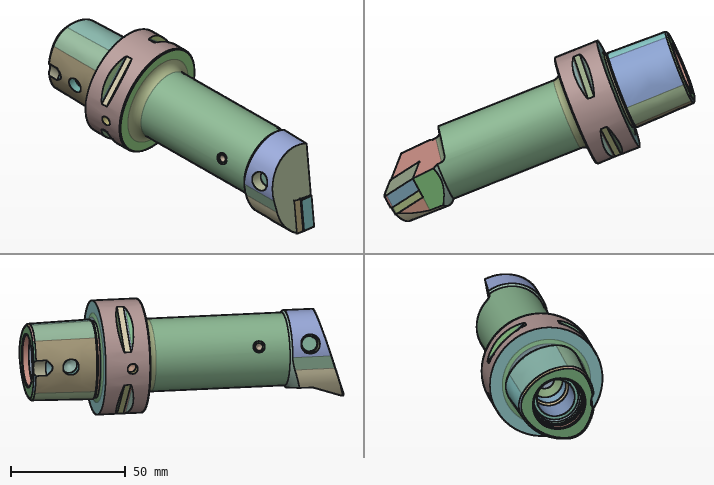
import cadquery as cq
import math

overall_length = 140.0
flange_diameter = 50.0
flange_radius = flange_diameter / 2
flange_width = 20.0
taper_length = 30.0
flange_back_x = taper_length + flange_width
flange_chamfer = 0.4

taper_per_side = 1 / 40
neck_start_x = 27.7
neck_inset = 0.7
taper_mean_radius = 17.5
lobe_rise = 1.0
lobe_radius = 11.0
mouth_chamfer = 0.8
collar_x = 29.4
collar_radius = 17.8
collar_rise = 1.8

bar_radius = 16.0
bar_fillet = 4.0

bore_steps = [
    (11.8, 0.0), (11.2, 0.3),
    (11.2, 3.1), (11.8, 3.1), (11.8, 4.5), (11.2, 4.5),
    (11.2, 5.9), (10.5, 6.5), (10.0, 7.8), (8.4, 7.8),
]
main_bore_depth = 22.4
inner_bore_radius = 7.4
inner_bore_depth = 30.8
coolant_radius = 4.0
coolant_depth = 56.0

notch_radius = 4.5
notch_axis_offset = 18.5
notch_length = 5.5
notch_tip_length = 6.0
cross_hole_radius = 3.5
cross_hole_x = 16.2
cross_hole_floor = 12.0
flange_hole_radius = 2.2
flange_hole_x = 41.9
flange_hole_floor = 21.0
drill_half_angle = 59.0

slot_x = taper_length + 10.0
slot_floor_width = 2.8
slot_corner = 0.5
slot_mouth_width = 7.0
slot_depth = 3.0

head_radius = 17.0
head_lobe_drop = 5.6
head_start_x = 113.7
head_blank_length = 42.0
blend_length = 8.4

tip_drop = 22.0
nose_radius = 0.8
seat_tilt_x = 0.08
seat_tilt_z = 0.2
insert_angle = 55.0
insert_edge = 15.5
insert_thickness = 6.3
shim_thickness = 3.6
end_lean = (90 - insert_angle) / 2
end_setback = 0.4
end_relief = 2.5
runout_x = 109.5
runout_lean = 16.0
runout_fillet = 2.7
far = 112.0
overrun = 1.4

clamp_x = 122.6
clamp_z = 5.6
clamp_hole_radius = 4.2
clamp_hole_floor = 9.8
clamp_screw_radius = 3.4
clamp_screw_height = 4.8
plug_x = 100.1
plug_z = 5.0
plug_radius = 2.5
plug_length = 4.2
plug_recess = 0.5
plug_socket_radius = 1.7
plug_socket_depth = 1.7


def polar(length, angle):
    return length * math.cos(math.radians(angle)), length * math.sin(math.radians(angle))


def x_cylinder(x, length, radius):
    return cq.Workplane("YZ", origin=(x, 0, 0)).circle(radius).extrude(length)


def revolve_x(profile):
    """Turns a closed profile drawn in (x, radius) about the X axis."""
    return profile.close().revolve(360, (0, 0, 0), (1, 0, 0))


bisector_length = nose_radius / math.sin(math.radians(insert_angle / 2))
corner_inset = bisector_length * math.cos(math.radians(45)) - nose_radius
corner_x = overall_length + corner_inset
corner_z = -tip_drop - corner_inset

seat = cq.Plane(
    origin=(corner_x, 0, corner_z),
    xDir=(1, -seat_tilt_x, 0),
    normal=(-seat_tilt_x, -1, seat_tilt_z),
)
end_angle = 90 + end_lean
lower_angle = 180 - end_lean
insert_top = polar(insert_edge, end_angle)
insert_back = polar(insert_edge, lower_angle)
insert_inner = (insert_top[0] + insert_back[0], insert_top[1] + insert_back[1])


lobe_center = taper_mean_radius + lobe_rise - lobe_radius
valley = taper_mean_radius - lobe_rise
gap = valley - lobe_radius
flat_center = (lobe_center**2 - gap**2) / (2 * gap - lobe_center)
join_tilt = math.degrees(math.atan2(
    lobe_center * math.sin(math.radians(60)),
    lobe_center * math.cos(math.radians(60)) + flat_center,
))


def polygon_wire(x, shrink):
    """Three lobes, one toward +Y, joined by flatter arcs; the outline is offset inward by `shrink`."""
    join_x, join_y = polar(valley + flat_center - shrink, join_tilt)
    join_radius = math.hypot(join_x - flat_center, join_y)
    join_angle = math.degrees(math.atan2(join_y, join_x - flat_center))
    work = cq.Workplane("YZ", origin=(x, 0, 0)).moveTo(*polar(join_radius, join_angle - 60))
    for lobe in (0, 120, 240):
        flat = lobe + 60
        work = work.threePointArc(
            polar(taper_mean_radius + lobe_rise - shrink, lobe), polar(join_radius, flat - join_angle))
        work = work.threePointArc(
            polar(valley - shrink, flat), polar(join_radius, flat + join_angle))
    return work.close().val()


def taper_section(start_x, end_x, start_shrink, end_shrink):
    wires = [polygon_wire(start_x, start_shrink), polygon_wire(end_x, end_shrink)]
    return cq.Workplane(cq.Solid.makeLoft(wires, True))


def taper():
    def shrink(x):
        return (taper_length - x) * taper_per_side

    mouth = taper_section(0, mouth_chamfer, mouth_chamfer + shrink(0), shrink(mouth_chamfer))
    neck_shrink = shrink(neck_start_x) + neck_inset
    shoulder_x = neck_start_x + neck_inset
    cone = taper_section(mouth_chamfer, neck_start_x, shrink(mouth_chamfer), shrink(neck_start_x))
    shoulder = taper_section(neck_start_x, shoulder_x, shrink(neck_start_x), neck_shrink)
    neck = taper_section(shoulder_x, taper_length, neck_shrink, neck_shrink)
    return mouth.union(cone).union(shoulder).union(neck)


def turned_shank():
    bar_mid = polar(bar_fillet, 225)
    bar_start = flange_back_x + bar_fillet
    profile = (
        cq.Workplane("XY").moveTo(collar_x, 0).lineTo(collar_x, collar_radius)
        .lineTo(taper_length, collar_radius + collar_rise)
        .lineTo(taper_length, flange_radius)
        .lineTo(flange_back_x - flange_chamfer, flange_radius)
        .lineTo(flange_back_x, flange_radius - flange_chamfer)
        .lineTo(flange_back_x, bar_radius + bar_fillet)
        .threePointArc(
            (bar_start + bar_mid[0], bar_radius + bar_fillet + bar_mid[1]), (bar_start, bar_radius))
        .lineTo(head_start_x, bar_radius).lineTo(head_start_x, 0)
    )
    return revolve_x(profile)


def above_lower_faces():
    """Space above the two lower relief faces, which stand square to the rake plane."""
    return (
        cq.Workplane(seat).moveTo(*polar(far, lower_angle + 180)).lineTo(*insert_back)
        .lineTo(-far, insert_back[1]).lineTo(-far, far).lineTo(far, far).close()
        .extrude(far, both=True)
    )


def behind_end_face():
    """Space behind the end face, which is set back from the insert and relieved away from it."""
    outward = seat.toWorldCoords(polar(1.4, end_lean)) - seat.origin
    along_edge = seat.toWorldCoords(polar(1.4, end_angle)) - seat.origin
    relief = far * math.tan(math.radians(end_relief))
    return (
        cq.Workplane(cq.Plane(origin=seat.origin, xDir=outward, normal=along_edge))
        .polyline([(relief - end_setback, far), (-relief - end_setback, -far), (-far, -far), (-far, far)])
        .close().extrude(far, both=True)
    )


def head():
    lower_lobe = x_cylinder(head_start_x, head_blank_length, head_radius).translate((0, 0, -head_lobe_drop))
    web = cq.Workplane("XY").box(
        head_blank_length, 2 * head_radius, head_lobe_drop, centered=(False, True, False)
    ).translate((head_start_x, 0, -head_lobe_drop))
    blank = x_cylinder(head_start_x, head_blank_length, head_radius).union(web).union(lower_lobe)
    blend = revolve_x(
        cq.Workplane("XY").moveTo(head_start_x, 0).lineTo(head_start_x, bar_radius)
        .lineTo(head_start_x + blend_length, bar_radius + blend_length)
        .lineTo(head_start_x + head_blank_length, bar_radius + blend_length)
        .lineTo(head_start_x + head_blank_length, 0)
    )
    return blank.intersect(blend).intersect(above_lower_faces()).intersect(behind_end_face())


def rake_cut():
    """Everything on the +Y side of the rake plane, back to a leaning runout wall with a fillet."""
    profile_plane = cq.Plane(origin=seat.origin, xDir=seat.xDir, normal=seat.yDir)
    wall_foot = runout_x - corner_x
    lean = math.tan(math.radians(runout_lean))
    return (
        cq.Workplane(profile_plane)
        .moveTo(wall_foot, 0).lineTo(far, 0).lineTo(far, far)
        .lineTo(wall_foot - far * lean, far).close().extrude(far, both=True)
        .edges(cq.selectors.NearestToPointSelector(seat.toWorldCoords((wall_foot, 0, 0)).toTuple()))
        .fillet(runout_fillet)
    )


def central_bore():
    drill_slope = 1 / math.tan(math.radians(drill_half_angle))
    profile = cq.Workplane("XY").moveTo(0, 0)
    for radius, depth in bore_steps:
        profile = profile.lineTo(depth, radius)
    bore_radius = bore_steps[-1][0]
    step = bore_radius - inner_bore_radius
    cone_length = (inner_bore_radius - coolant_radius) * drill_slope
    profile = (
        profile.lineTo(main_bore_depth, bore_radius)
        .lineTo(main_bore_depth + step, inner_bore_radius)
        .lineTo(inner_bore_depth, inner_bore_radius)
        .lineTo(inner_bore_depth + cone_length, coolant_radius)
        .lineTo(coolant_depth, coolant_radius)
        .lineTo(coolant_depth + coolant_radius * drill_slope, 0)
    )
    return revolve_x(profile)


def drilled_hole(x, radius, floor):
    """Blind hole drilled from the -Y side, its straight wall ending `floor` short of the axis."""
    tip = floor - radius / math.tan(math.radians(drill_half_angle))
    return (
        cq.Workplane("XY").moveTo(x, -flange_radius - overrun).lineTo(x + radius, -flange_radius - overrun)
        .lineTo(x + radius, -floor).lineTo(x, -tip).close()
        .revolve(360, (x, 0, 0), (x, 1, 0))
    )


def taper_notch():
    return revolve_x(
        cq.Workplane("XY").moveTo(-overrun, 0).lineTo(-overrun, notch_radius)
        .lineTo(notch_length, notch_radius)
        .lineTo(notch_length + notch_tip_length, 0)
    ).translate((0, -notch_axis_offset, 0))


def gripper_slots():
    floor_z = flange_radius - slot_depth
    half_floor = slot_floor_width / 2
    half_mouth = slot_mouth_width / 2
    one_side = [
        (half_floor, floor_z),
        (half_floor + slot_corner, floor_z + slot_corner),
        (half_mouth, flange_radius),
        (half_mouth, flange_radius + overrun),
    ]
    other_side = [(-x, z) for x, z in reversed(one_side)]
    slot = (
        cq.Workplane("XZ", origin=(slot_x, 0, 0))
        .polyline(one_side + other_side).close().extrude(flange_radius, both=True)
    )
    slots = cq.Workplane("XY")
    for angle in (45, 135, 225, 315):
        slots = slots.add(slot.rotate((0, 0, 0), (1, 0, 0), angle))
    return slots.combine()


def seat_block(top, thickness):
    """Rhombic block with a rounded nose, its upper face `top` below the rake plane."""
    return (
        cq.Workplane(seat).workplane(offset=top)
        .polyline([(0, 0), insert_top, insert_inner, insert_back]).close().extrude(thickness)
        .edges(cq.selectors.NearestToPointSelector(
            seat.toWorldCoords((0, 0, top + thickness / 2)).toTuple()))
        .fillet(nose_radius).solids()
    )


def seat_pocket():
    return (
        cq.Workplane(seat).polyline([(0, 0), insert_top, insert_inner, insert_back]).close()
        .extrude(insert_thickness + shim_thickness)
    )


clamp_plane = cq.Plane(
    origin=(clamp_x, -head_radius, clamp_z), xDir=seat.xDir, normal=seat.zDir)
plug_lift = math.asin(plug_z / bar_radius)
plug_plane = cq.Plane(
    origin=(plug_x, -bar_radius * math.cos(plug_lift), plug_z),
    xDir=(1, 0, 0), normal=(0, -math.cos(plug_lift), math.sin(plug_lift)))


def clamp_hole():
    return (
        cq.Workplane(clamp_plane).workplane(offset=-clamp_hole_floor)
        .circle(clamp_hole_radius).extrude(far)
    )


def plug_hole():
    return (
        cq.Workplane(plug_plane).workplane(offset=-plug_recess - plug_length)
        .circle(plug_radius).extrude(plug_length + plug_recess + overrun)
    )


def make_holder():
    body = taper().union(turned_shank()).union(head())
    for cutter in (
        rake_cut(), central_bore(), taper_notch(), gripper_slots(),
        drilled_hole(cross_hole_x, cross_hole_radius, cross_hole_floor),
        drilled_hole(flange_hole_x, flange_hole_radius, flange_hole_floor),
        seat_pocket(), clamp_hole(), plug_hole(),
    ):
        body = body.cut(cutter)
    return body.solids()


def make_insert():
    return seat_block(0, insert_thickness)


def make_shim():
    return seat_block(insert_thickness, shim_thickness).intersect(behind_end_face()).solids()


def make_clamp_screw():
    return (
        cq.Workplane(clamp_plane).workplane(offset=-clamp_hole_floor)
        .circle(clamp_screw_radius).extrude(clamp_screw_height)
    )


def make_plug():
    plug = (
        cq.Workplane(plug_plane).workplane(offset=-plug_recess - plug_length)
        .circle(plug_radius).extrude(plug_length)
    )
    socket = cq.Solid.makeCone(
        plug_socket_radius, 0, plug_socket_depth,
        plug_plane.toWorldCoords((0, 0, -plug_recess)), -plug_plane.zDir)
    return plug.cut(cq.Workplane(socket)).solids()


holder = make_holder()
insert = make_insert()
shim = make_shim()
clamp_screw = make_clamp_screw()
plug = make_plug()

result = cq.Compound.makeCompound(
    [holder.val(), insert.val(), shim.val(), clamp_screw.val(), plug.val()])